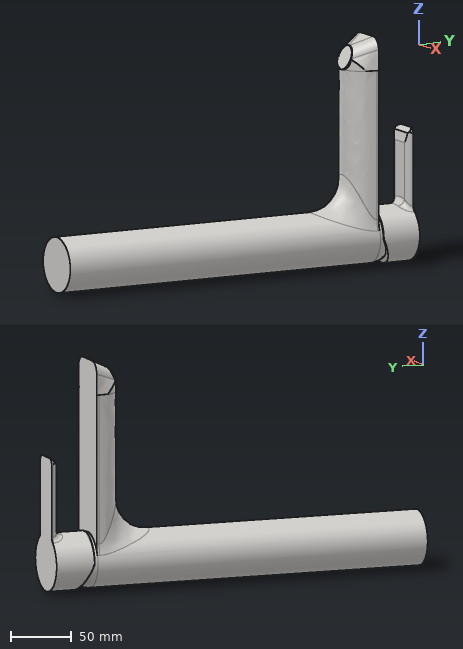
import cadquery as cq
import math

overall_length = 328.5

body_radius = 23.3
body_back = 36.8

cap_radius = 24.3
cap_length = 34.0
cap_bottom_length = 23.0
neck_back = 24.5
neck_back_radius = 19.0
neck_middle = 32.0
neck_middle_radius = 22.7

lever_top = 88.7
lever_width = 26.3
lever_thickness = 6.0
lever_edge_radius = 5.0
lever_corner_radius = 5.3
lever_slope_start = 76.2
lever_bevel_depth = 4.5
lever_bevel_height = 84.5
lever_root_fillet = 5.5

spout_top = 168.2
spout_half_width = 20.7
spout_flank = 2.0
spout_front = 60.5
spout_root_fillet = 29.5
spout_tip_start = 141.0
spout_corner_radius = 9.5

outlet_radius = 10.5
outlet_tilt = 20.0
outlet_depth = 57.2
outlet_height = 150.5
outlet_rim = 0.5
outlet_root = 1.5

envelope_foot_drop = 10.0
envelope_front_corner = 0.95 * outlet_radius

pick_margin = 0.3


def along_y(radius, start, end):
    """Round bar on the body axis between two depths."""
    return cq.Workplane("XZ", origin=(0, -start, 0)).circle(radius).extrude(end - start)


def rounded_top_outline(plane, half_width, foot_half_width, top, foot, corner):
    """Upright outline with two rounded upper corners, drawn on a local plane."""
    shoulder = top - corner
    inset = half_width - corner
    diagonal = corner * math.sqrt(0.5)
    return (
        plane.moveTo(-foot_half_width, foot)
        .lineTo(-half_width, shoulder)
        .threePointArc((-inset - diagonal, shoulder + diagonal), (-inset, top))
        .lineTo(inset, top)
        .threePointArc((inset + diagonal, shoulder + diagonal), (half_width, shoulder))
        .lineTo(foot_half_width, foot)
        .close()
    )


def make_spout_column(bottom, top):
    """Straight length of the spout between two heights."""
    nose_center = -body_back - spout_flank
    nose_depth = spout_front + nose_center
    return (
        cq.Workplane("XY", origin=(0, 0, bottom))
        .moveTo(-spout_half_width, -body_back)
        .lineTo(-spout_half_width, nose_center)
        .ellipseArc(spout_half_width, nose_depth, 180, 360, sense=1)
        .lineTo(spout_half_width, -body_back)
        .close()
        .extrude(top - bottom)
    )


def make_spout_tip():
    """Column end whose roof tapers from the back outline to the outlet face."""
    tilt = math.radians(outlet_tilt)
    outlet_plane = cq.Plane(
        origin=(0, -outlet_depth, outlet_height),
        xDir=(1, 0, 0),
        normal=(0, -math.cos(tilt), math.sin(tilt)),
    )
    back = rounded_top_outline(
        cq.Workplane("XZ", origin=(0, -body_back, 0)),
        spout_half_width, spout_half_width, spout_top, spout_tip_start - envelope_foot_drop,
        spout_corner_radius,
    )
    front = rounded_top_outline(
        cq.Workplane(outlet_plane),
        outlet_radius, spout_half_width, outlet_radius, -outlet_radius - envelope_foot_drop,
        envelope_front_corner,
    )
    envelope = cq.Workplane(cq.Solid.makeLoft([back.val(), front.val()], True))
    column = make_spout_column(spout_tip_start, spout_top)
    outlet = (
        cq.Workplane(outlet_plane)
        .workplane(offset=-outlet_root)
        .circle(outlet_radius)
        .extrude(outlet_root + outlet_rim)
    )
    return column.intersect(envelope).union(outlet)


def make_body_and_spout():
    """Horizontal body with the upright spout blended into its back end."""
    body = along_y(body_radius, body_back, overall_length)
    joined = body.union(make_spout_column(0, spout_tip_start))
    root = cq.selectors.BoxSelector(
        (-body_radius, -body_back - pick_margin, pick_margin),
        (body_radius, -spout_front - pick_margin, body_radius + pick_margin),
        boundingbox=True,
    )
    joined = joined.edges(root).fillet(spout_root_fillet)
    return joined.union(make_spout_tip())


def make_neck():
    """Round neck swelling from the handle cap to the body."""
    return (
        cq.Workplane("XY")
        .moveTo(0, -body_back)
        .lineTo(body_radius, -body_back)
        .threePointArc((neck_middle_radius, -neck_middle), (neck_back_radius, -neck_back))
        .lineTo(0, -neck_back)
        .close()
        .revolve(360, (0, 0, 0), (0, 1, 0))
    )


def make_cap():
    """Handle cap with the slanted relief under its front end."""
    relief = (
        cq.Workplane("YZ", origin=(-cap_radius, 0, 0))
        .moveTo(-cap_length, 0)
        .lineTo(-cap_bottom_length, -cap_radius)
        .lineTo(-cap_length, -cap_radius)
        .close()
        .extrude(2 * cap_radius)
    )
    return along_y(cap_radius, 0, cap_length).cut(relief)


def make_lever():
    """Thin upright with rounded front edges, rounded upper corners and a beveled top."""
    half_width = lever_width / 2
    bar = (
        cq.Workplane("XY")
        .rect(lever_width, 2 * lever_thickness)
        .extrude(lever_top)
        .edges("|Z")
        .fillet(lever_edge_radius)
    )
    outline = rounded_top_outline(
        cq.Workplane("XZ"), half_width, half_width, lever_top, 0, lever_corner_radius
    ).extrude(lever_thickness)
    side = (
        cq.Workplane("YZ", origin=(-half_width, 0, 0))
        .lineTo(0, lever_top)
        .lineTo(-lever_bevel_depth, lever_bevel_height)
        .lineTo(-lever_thickness, lever_slope_start)
        .lineTo(-lever_thickness, 0)
        .close()
        .extrude(lever_width)
    )
    return bar.intersect(outline).intersect(side)


def make_handle():
    """Cap and lever with a fillet around the lever root."""
    handle = make_cap().union(make_lever())
    root = cq.selectors.BoxSelector(
        (-lever_width, -lever_thickness - pick_margin, 0),
        (lever_width, -pick_margin, cap_radius + pick_margin),
        boundingbox=True,
    )
    return handle.edges(root).fillet(lever_root_fillet)


result = make_body_and_spout().union(make_neck()).union(make_handle())